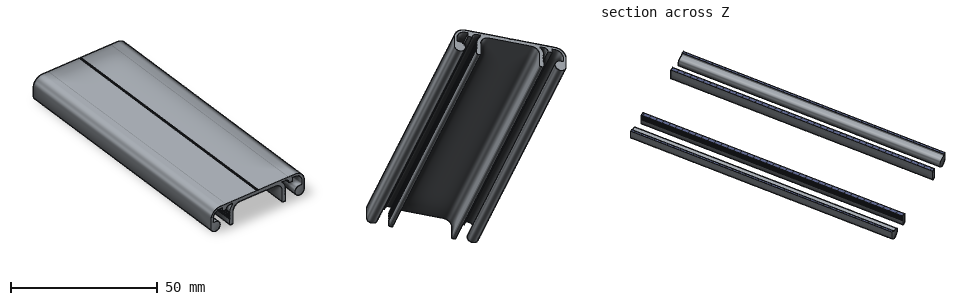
import cadquery as cq
import math

length = 100.0
width = 40.0
height = 9.5

flange_thickness = 1.0
web_thickness = 1.5
shoulder_radius = 4.0
half_width = width / 2
flange_underside = height - flange_thickness
web_underside = height - web_thickness
shoulder_y = half_width - shoulder_radius
shoulder_z = height - shoulder_radius
shoulder_inner_radius = shoulder_radius - flange_thickness
wall_inner_y = half_width - flange_thickness

bead_radius = 2.0
bead_fillet = 0.5
bead_y = half_width - bead_radius
bead_top = 2 * bead_radius

rib_outer_y = 12.0
rib_thickness = 1.5
rib_bend_inner_radius = 3.0
rib_bend_outer_radius = rib_bend_inner_radius + rib_thickness
rib_inner_y = rib_outer_y - rib_thickness
rib_bend_y = rib_inner_y - rib_bend_inner_radius
rib_bend_z = web_underside - rib_bend_inner_radius
recess_end_y = 10.7
rib_tip_radius = 0.5

lip_outer_y = 15.0
lip_inner_y = 13.5
lip_bottom = 7.0
lip_fillet = flange_underside - lip_bottom

notch_count = 3
notch_pitch = 1.2
notch_first_z = 2.8
notch_width = 0.6
notch_depth = 0.2

center_groove_width = 0.7
center_groove_floor = 0.2
center_groove_depth = 0.15
side_groove_y = 13.4
side_groove_width = 0.7
side_groove_floor = 0.3
side_groove_depth = 0.06


def arc_point(center_y, center_z, radius, angle):
    """Point on a circle in the YZ plane, angle in degrees from +Y towards +Z."""
    turn = math.radians(angle)
    return (center_y + radius * math.cos(turn), center_z + radius * math.sin(turn))


def half_profile():
    """Cross-section on the +Y side of the middle plane, extruded along X."""
    recess_end_angle = math.degrees(math.acos((recess_end_y - rib_bend_y) / rib_bend_outer_radius))
    fillet_y = wall_inner_y - bead_fillet
    fillet_z = bead_top + bead_fillet
    tip_outer_y = rib_outer_y - rib_tip_radius
    tip_inner_y = rib_inner_y + rib_tip_radius
    return (
        cq.Workplane("YZ")
        .moveTo(0, height)
        .lineTo(shoulder_y, height)
        .threePointArc(arc_point(shoulder_y, shoulder_z, shoulder_radius, 45), (half_width, shoulder_z))
        .lineTo(half_width, bead_radius)
        .threePointArc((bead_y, 0), (bead_y - bead_radius, bead_radius))
        .threePointArc(arc_point(bead_y, bead_radius, bead_radius, 135), (bead_y, bead_top))
        .lineTo(fillet_y, bead_top)
        .threePointArc(arc_point(fillet_y, fillet_z, bead_fillet, -45), (wall_inner_y, fillet_z))
        .lineTo(wall_inner_y, shoulder_z)
        .threePointArc(
            arc_point(shoulder_y, shoulder_z, shoulder_inner_radius, 45),
            (shoulder_y, flange_underside),
        )
        .lineTo(lip_outer_y, flange_underside)
        .lineTo(lip_outer_y, lip_bottom)
        .lineTo(lip_inner_y, lip_bottom)
        .threePointArc(
            arc_point(lip_inner_y - lip_fillet, lip_bottom, lip_fillet, 45),
            (lip_inner_y - lip_fillet, flange_underside),
        )
        .lineTo(recess_end_y, flange_underside)
        .lineTo(*arc_point(rib_bend_y, rib_bend_z, rib_bend_outer_radius, recess_end_angle))
        .threePointArc(
            arc_point(rib_bend_y, rib_bend_z, rib_bend_outer_radius, recess_end_angle / 2),
            (rib_outer_y, rib_bend_z),
        )
        .lineTo(rib_outer_y, rib_tip_radius)
        .threePointArc(arc_point(tip_outer_y, rib_tip_radius, rib_tip_radius, -45), (tip_outer_y, 0))
        .lineTo(tip_inner_y, 0)
        .threePointArc(
            arc_point(tip_inner_y, rib_tip_radius, rib_tip_radius, 225),
            (rib_inner_y, rib_tip_radius),
        )
        .lineTo(rib_inner_y, rib_bend_z)
        .threePointArc(
            arc_point(rib_bend_y, rib_bend_z, rib_bend_inner_radius, 45),
            (rib_bend_y, web_underside),
        )
        .lineTo(0, web_underside)
        .close()
        .extrude(length)
    )


def top_groove(y, opening, floor, depth):
    """Cutter with sloping sides and a flat floor, running along the top face."""
    points = [
        (y - opening / 2, height),
        (y + opening / 2, height),
        (y + floor / 2, height - depth),
        (y - floor / 2, height - depth),
    ]
    return cq.Workplane("YZ").polyline(points).close().extrude(length)


def rib_notch(z):
    """V-shaped cutter running along the outer face of the +Y rib."""
    points = [
        (rib_outer_y, z - notch_width / 2),
        (rib_outer_y, z + notch_width / 2),
        (rib_outer_y - notch_depth, z),
    ]
    return cq.Workplane("YZ").polyline(points).close().extrude(length)


half = half_profile()
half = half.cut(top_groove(side_groove_y, side_groove_width, side_groove_floor, side_groove_depth))
for i in range(notch_count):
    half = half.cut(rib_notch(notch_first_z + i * notch_pitch))

result = half.union(half.mirror("XZ"))
result = result.cut(top_groove(0, center_groove_width, center_groove_floor, center_groove_depth))